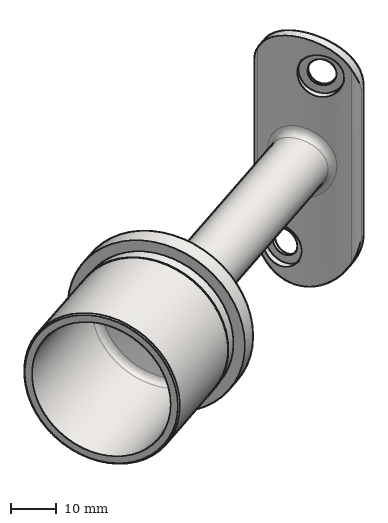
import cadquery as cq
import math

total_length = 114.3

spigot_diameter = 37.3
spigot_length = 26.9
spigot_end_chamfer = 0.3
relief_diameter = 36.9
flange_start = 30.0
flange_diameter = 42.4
flange_thickness = 4.6
cone_angle = 15.0

bore_diameter = 33.1
bore_wall_depth = 33.7
bore_floor_fillet = 2.0

rod_diameter = 14.0
rod_cone_fillet = 2.0
rod_saddle_fillet = 2.0

saddle_width = 25.4
saddle_height = 63.0
saddle_inner_radius = 23.8
saddle_thickness = 2.5
saddle_edge_fillet = 2.5

screw_hole_diameter = 6.5
counterbore_diameter = 10.5
counterbore_depth = 1.7
screw_hole_angle = 10.4
screw_hole_height = 22.5

cone_slope = math.tan(math.radians(cone_angle))
flange_end = flange_start + flange_thickness
saddle_outer_radius = saddle_inner_radius + saddle_thickness
saddle_axis_y = total_length + math.sqrt(saddle_inner_radius**2 - (saddle_width / 2) ** 2)
saddle_inner_y = saddle_axis_y - saddle_inner_radius
saddle_front_y = saddle_inner_y - saddle_thickness
saddle_middle_y = saddle_inner_y - saddle_thickness / 2


def cylinder_along_z(radius):
    """Cylinder on the saddle axis, as tall as the saddle."""
    return (
        cq.Workplane("XY")
        .center(0, saddle_axis_y)
        .circle(radius)
        .extrude(saddle_height / 2, both=True)
    )


def make_saddle():
    """Curved plate with rounded long edges and semicircular ends."""
    half_width = saddle_width / 2
    block = cq.Workplane("XY").box(saddle_width, total_length, saddle_height)
    block = block.translate((0, total_length / 2, 0))
    plate = block.intersect(cylinder_along_z(saddle_outer_radius))
    corner_y = saddle_axis_y - math.sqrt(saddle_outer_radius**2 - half_width**2)
    for side in (-1, 1):
        corner = cq.selectors.NearestToPointSelector((side * half_width, corner_y, 0))
        plate = plate.edges("|Z").edges(corner).fillet(saddle_edge_fillet)
    plate = plate.cut(cylinder_along_z(saddle_inner_radius))
    outline = (
        cq.Workplane("XZ")
        .slot2D(saddle_height, saddle_width, 90)
        .extrude(-total_length)
    )
    return plate.intersect(outline)


def make_post():
    """Spigot, relief groove, flange, cone and rod, solid throughout."""
    rod_radius = rod_diameter / 2
    flange_radius = flange_diameter / 2
    spigot_radius = spigot_diameter / 2
    cone_end = flange_end + (flange_radius - rod_radius) * cone_slope
    neck = cq.selectors.NearestToPointSelector((0, cone_end, 0))
    post = (
        cq.Workplane("XY")
        .lineTo(spigot_radius - spigot_end_chamfer, 0)
        .lineTo(spigot_radius, spigot_end_chamfer)
        .lineTo(spigot_radius, spigot_length)
        .lineTo(relief_diameter / 2, spigot_length)
        .lineTo(relief_diameter / 2, flange_start)
        .lineTo(flange_radius, flange_start)
        .lineTo(flange_radius, flange_end)
        .lineTo(rod_radius, cone_end)
        .lineTo(rod_radius, saddle_middle_y)
        .lineTo(0, saddle_middle_y)
        .close()
        .revolve(360, (0, 0, 0), (0, 1, 0))
    )
    return post.edges("%CIRCLE").edges(neck).fillet(rod_cone_fillet)


def make_bore():
    """Cutter for the spigot bore, pointed at its closed end."""
    bore_radius = bore_diameter / 2
    tip_y = bore_wall_depth + bore_radius * cone_slope
    bore = (
        cq.Workplane("XY")
        .lineTo(bore_radius, 0)
        .lineTo(bore_radius, bore_wall_depth)
        .lineTo(0, tip_y)
        .close()
        .revolve(360, (0, 0, 0), (0, 1, 0))
    )
    floor_edge = cq.selectors.NearestToPointSelector((0, bore_wall_depth, 0))
    return bore.edges("%CIRCLE").edges(floor_edge).fillet(bore_floor_fillet)


def make_screw_hole():
    """Cutter for the counterbored hole at +X, +Z, pointing at the saddle axis."""
    floor_y = saddle_front_y + counterbore_depth
    through = cq.Workplane("XZ", origin=(0, saddle_axis_y, screw_hole_height))
    through = through.circle(screw_hole_diameter / 2).extrude(2 * saddle_outer_radius)
    counterbore = cq.Workplane("XZ", origin=(0, floor_y, screw_hole_height))
    counterbore = counterbore.circle(counterbore_diameter / 2).extrude(saddle_outer_radius)
    return through.union(counterbore).rotate(
        (0, saddle_axis_y, 0), (0, saddle_axis_y, 1), screw_hole_angle
    )


body = make_saddle().union(make_post())
joint_box = cq.selectors.BoxSelector(
    (-rod_diameter, saddle_front_y - saddle_thickness, -rod_diameter),
    (rod_diameter, saddle_inner_y, rod_diameter),
)
body = body.edges(joint_box).fillet(rod_saddle_fillet)
body = body.cut(make_bore())

for turn in (0, 180):
    body = body.cut(make_screw_hole().rotate((0, 0, 0), (0, 1, 0), turn))

result = body